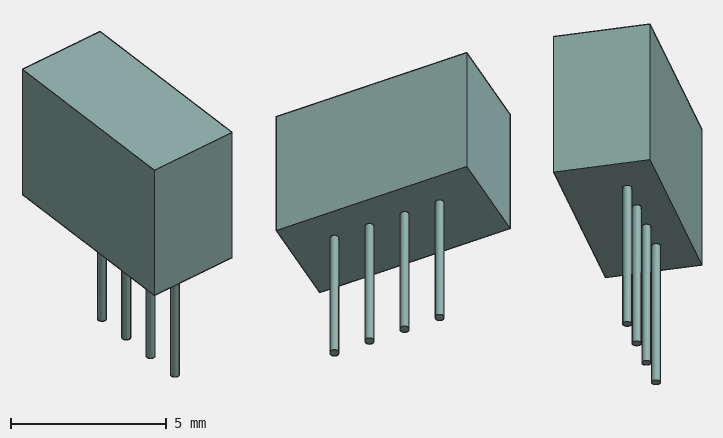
import cadquery as cq

housing_length = 6.8
housing_width = 3.2
housing_height = 5.08

total_height = 10.18
lead_length = total_height - housing_height
lead_diameter = 0.3
lead_count = 4
lead_pitch = 1.25
lead_row_from_back = 1.14
lead_row_y = housing_width / 2 - lead_row_from_back


def make_housing():
    """Plain block centred in X and Y, standing on Z = 0."""
    return cq.Workplane("XY").box(
        housing_length, housing_width, housing_height, centered=(True, True, False)
    )


def make_lead(x):
    """Round lead hanging from the underside of the housing."""
    return (
        cq.Workplane("XY")
        .center(x, lead_row_y)
        .circle(lead_diameter / 2)
        .extrude(-lead_length)
    )


housing = make_housing()

first_lead_x = -lead_pitch * (lead_count - 1) / 2
leads = [make_lead(first_lead_x + i * lead_pitch) for i in range(lead_count)]

result = cq.Compound.makeCompound([housing.val(), *[lead.val() for lead in leads]])